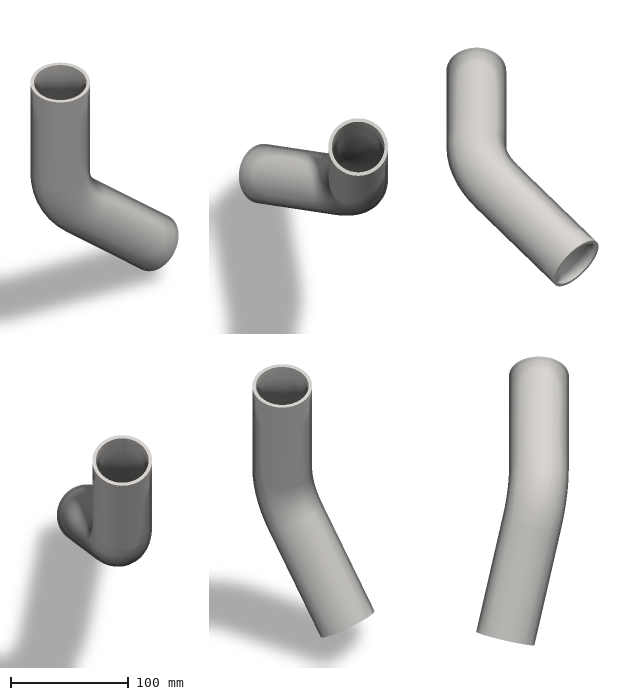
import cadquery as cq
import math

overall_height = 236.3
outer_diameter = 50.8
bore_diameter = 44.7
bend_radius = 63.5
bend_angle = 45.0

bend_sin = math.sin(math.radians(bend_angle))
bend_cos = math.cos(math.radians(bend_angle))
outer_radius = outer_diameter / 2
end_rim_drop = outer_radius * bend_sin
bend_drop = bend_radius * bend_sin
leg_length = (overall_height - bend_drop - end_rim_drop) / (1 + bend_cos)


def bend_point(angle):
    """Centreline (Y, Z) point after turning by angle; the bend starts at the origin."""
    turn = math.radians(angle)
    return bend_radius * (1 - math.cos(turn)), -bend_radius * math.sin(turn)


def tube_centreline():
    """Vertical leg, bend towards +Y, then the sloping leg."""
    bend_end_y, bend_end_z = bend_point(bend_angle)
    lower_end = (bend_end_y + leg_length * bend_sin, bend_end_z - leg_length * bend_cos)
    return (
        cq.Workplane("YZ")
        .moveTo(0, leg_length)
        .lineTo(0, 0)
        .threePointArc(bend_point(bend_angle / 2), (bend_end_y, bend_end_z))
        .lineTo(*lower_end)
    )


ring_section = (
    cq.Workplane("XY")
    .workplane(offset=leg_length)
    .circle(outer_radius)
    .circle(bore_diameter / 2)
)
result = ring_section.sweep(tube_centreline())